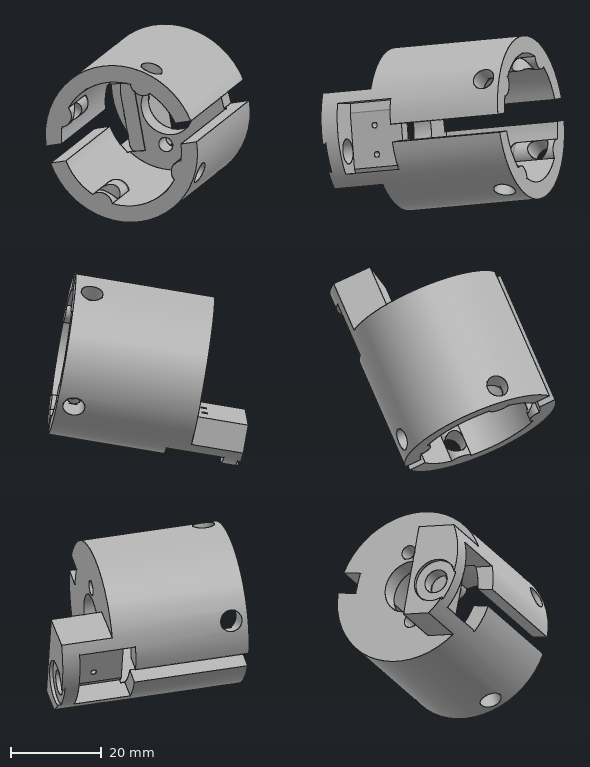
import cadquery as cq
import math

outer_diameter = 36.2
outer_radius = outer_diameter / 2
bore_radius = 14.28
total_length = 42.6
sleeve_length = 31.03
floor_start = 26.8
floor_hole_diameter = 12.27
small_hole_diameter = 3.3
small_hole_circle_radius = 8.52
small_hole_angle = 88.0

slot_angle = 15.0
left_slot_width = 3.9
right_slot_width = 4.8
right_slot_offset = 0.45
right_slot_inner_radius = 13.5

boss_diameter = 5.63
boss_center_radius = 15.45
boss_length = 9.5
boss_rounding = bore_radius - (boss_center_radius - boss_diameter / 2)
first_boss_angle = 71.5
screw_hole_diameter = 4.8
screw_hole_y = 3.8

tongue_tilt = 10.5
tongue_inner = 6.95
tongue_top = 8.85
tongue_bottom = -12.27

pocket_start = 25.9
pocket_end = 38.7
pocket_top = 6.25
pocket_bottom = -9.38
plate_outer = 10.4
top_bevel_depth = 0.43
top_bevel_length = 2.15
bottom_bevel_depth = 0.6
bottom_bevel_length = 1.1
plate_step = 0.15
pin_hole_diameter = 1.25
pin_hole_y = 33.07
pin_hole_spacing = 6.48
pin_hole_middle = -2.2

end_hole_diameter = 5.5
end_hole_across = 13.3
end_hole_along = -4.35
recess_diameter = 9.97
recess_depth = 0.75

beyond = 2 * outer_radius


def section_plane(y):
    """XZ sketch plane at the given Y whose extrusions run toward +Y."""
    return cq.Plane(origin=(0, y, 0), xDir=(-1, 0, 0), normal=(0, 1, 0))


def on_section(x, z):
    """Place an X, Z point in the coordinates of a section plane."""
    return (-x, z)


def polar(radius, angle):
    """X, Z point at an angle measured from +X toward +Z."""
    return (radius * math.cos(math.radians(angle)), radius * math.sin(math.radians(angle)))


def tongue_point(across, along):
    """X, Z point of a place given in the tongue frame."""
    cosine = math.cos(math.radians(tongue_tilt))
    sine = math.sin(math.radians(tongue_tilt))
    return (-across * cosine - along * sine, -across * sine + along * cosine)


def rod(center, diameter, start, end):
    """Cylinder along Y, centered on an X, Z point."""
    sketch = cq.Workplane(section_plane(start)).center(*on_section(*center))
    return sketch.circle(diameter / 2).extrude(end - start)


def prism(points, start, end):
    """Prism along Y with an outline of X, Z points."""
    outline = [on_section(*point) for point in points]
    return cq.Workplane(section_plane(start)).polyline(outline).close().extrude(end - start)


def tongue_prism(points, start, end):
    """Prism along Y with an outline given in the tongue frame."""
    return prism([tongue_point(*point) for point in points], start, end)


def cross_hole(diameter, start, direction, length):
    """Cylinder square to Y, running from a point along an X, Z direction."""
    axis = cq.Vector(direction[0], 0, direction[1])
    return cq.Workplane(obj=cq.Solid.makeCylinder(diameter / 2, length, cq.Vector(*start), axis))


def boss(angle):
    """Round boss along the bore wall, rounded off into the wall at its inner end."""
    center = polar(boss_center_radius, angle)
    mid_wall_radius = (bore_radius + outer_radius) / 2
    full_length = boss_length + boss_rounding
    rounded_rod = rod(center, boss_diameter, 0, full_length).faces(">Y").fillet(boss_rounding)
    return rounded_rod.intersect(rod((0, 0), 2 * mid_wall_radius, 0, full_length))


def slot(inner, outer, middle, width, length):
    """Slot box between two signed distances from the axis, turned to the slot angle."""
    size_along = outer - inner
    box = cq.Workplane("XY").box(size_along, length, width)
    box = box.translate(((inner + outer) / 2, length / 2, middle))
    return box.rotate((0, 0, 0), (0, 1, 0), -slot_angle)


sleeve = rod((0, 0), outer_diameter, 0, sleeve_length)
sleeve = sleeve.cut(rod((0, 0), 2 * bore_radius, 0, floor_start))
boss_angles = [first_boss_angle + 90 * i for i in range(4)]
for boss_angle in boss_angles:
    sleeve = sleeve.union(boss(boss_angle))

sleeve = sleeve.cut(slot(right_slot_inner_radius, beyond, right_slot_offset, right_slot_width, sleeve_length))
sleeve = sleeve.cut(slot(-beyond, -right_slot_inner_radius, 0, left_slot_width, pocket_start))

for boss_angle in boss_angles:
    sleeve = sleeve.cut(cross_hole(screw_hole_diameter, (0, screw_hole_y, 0), polar(1, boss_angle), beyond))

sleeve = sleeve.cut(rod((0, 0), floor_hole_diameter, floor_start, sleeve_length))
for hole_angle in (small_hole_angle, small_hole_angle + 180):
    hole_center = polar(small_hole_circle_radius, hole_angle)
    sleeve = sleeve.cut(rod(hole_center, small_hole_diameter, floor_start, sleeve_length))

tongue_outline = [
    (tongue_inner, tongue_top),
    (beyond, tongue_top),
    (beyond, tongue_bottom),
    (tongue_inner, tongue_bottom),
]
tongue = tongue_prism(tongue_outline, floor_start, total_length)
tongue = tongue.intersect(rod((0, 0), outer_diameter, floor_start, total_length))
body = sleeve.union(tongue)

bevelled_side = [
    (plate_outer - top_bevel_depth, pocket_top),
    (plate_outer, pocket_top - top_bevel_length),
    (plate_outer, pocket_bottom + bottom_bevel_length),
    (plate_outer - bottom_bevel_depth, pocket_bottom),
]
pocket_outline = bevelled_side + [(beyond, pocket_bottom), (beyond, pocket_top)]
body = body.cut(tongue_prism(pocket_outline, pocket_start, pocket_end))

plate_outline = bevelled_side + [(tongue_inner, pocket_bottom), (tongue_inner, pocket_top)]
body = body.union(tongue_prism(plate_outline, floor_start - plate_step, sleeve_length))

for side in (-1, 1):
    hole_x, hole_z = tongue_point(tongue_inner, pin_hole_middle + side * pin_hole_spacing / 2)
    pin_hole_start = (hole_x, pin_hole_y, hole_z)
    plate_thickness = plate_outer - tongue_inner
    body = body.cut(cross_hole(pin_hole_diameter, pin_hole_start, tongue_point(1, 0), plate_thickness))

end_hole_center = tongue_point(end_hole_across, end_hole_along)
body = body.cut(rod(end_hole_center, end_hole_diameter, pocket_end, total_length))
body = body.cut(rod(end_hole_center, recess_diameter, total_length - recess_depth, total_length))

result = body